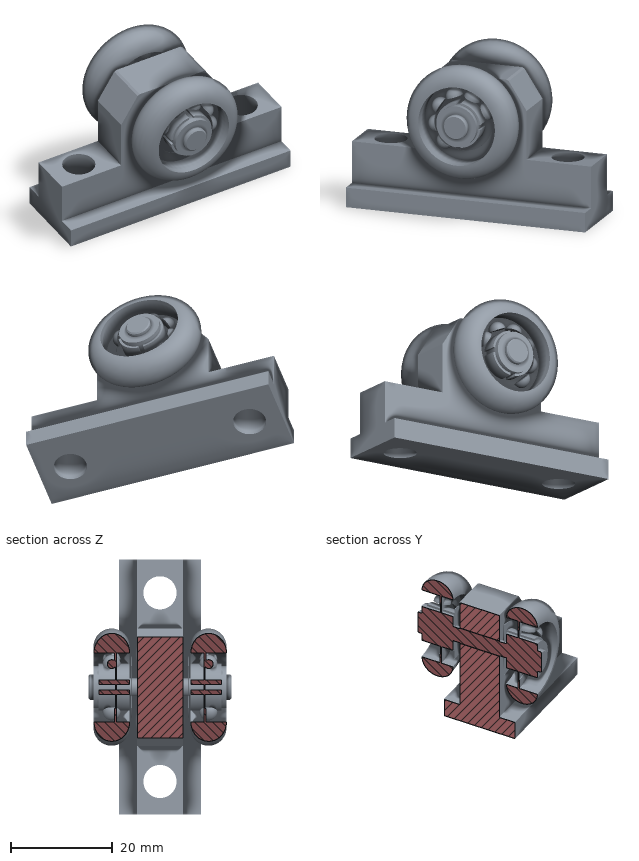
import cadquery as cq


LENGTH = 50.0
BASE_WIDTH = 16.0
BASE_HEIGHT = 4.0
BLOCK_WIDTH = 9.0
SHOULDER_HEIGHT = 12.5
TOWER_LENGTH = 23.0
TOWER_HEIGHT = 28.5
FACET_START_HEIGHT = 22.5
TOP_LENGTH = 15.5
TOP_FLAT_LENGTH = 14.5
TOP_BEVEL_DROP = 0.25
MOUNT_HOLE_DIAMETER = 6.5
MOUNT_HOLE_SPACING = 37.0

AXLE_HEIGHT = 20.5
AXLE_DIAMETER = 3.5
WHEELSET_WIDTH = 28.0
WHEEL_OFFSET = 9.5
TYRE_WIDTH = 7.1
RIM_DIAMETER = 16.0
OUTER_DIAMETER = 23.0
RACE_DIAMETER = 12.0
RACE_DEPTH = 0.15
WEB_OUTER_OFFSET = 9.0
WEB_THICKNESS = 0.5
FLANGE_OFFSET = 5.5
FLANGE_THICKNESS = 0.1
HUB_DIAMETER = 8.25
COLLAR_DIAMETER = 9.2
COLLAR_SETBACK = 1.0
CAP_DIAMETER = 5.0
CAP_CHAMFER = 0.25
CAP_LENGTH = (WHEELSET_WIDTH - TYRE_WIDTH) / 2 - WHEEL_OFFSET

NOTCH_WIDTH = 1.0
NOTCH_ANGLES = (0, 90, 270)

BALL_DIAMETER = 3.5
BALL_CIRCLE_RADIUS = 5.4
BALL_PITCH = 360 / 9
FIRST_BALL_ANGLE = 28.0
EXPOSED_BALLS = 6


def cylinder_x(diameter, start, end):
    """Cylinder around the wheel axis between two X positions."""
    section = cq.Workplane("YZ", origin=(start, 0, AXLE_HEIGHT)).circle(diameter / 2)
    return section.extrude(end - start)


def make_bracket():
    base = cq.Workplane("XY").box(BASE_WIDTH, LENGTH, BASE_HEIGHT, centered=(True, True, False))
    half_length = LENGTH / 2
    tower_half = TOWER_LENGTH / 2
    block = (
        cq.Workplane("YZ")
        .polyline([
            (-half_length, 0),
            (half_length, 0),
            (half_length, SHOULDER_HEIGHT),
            (tower_half, SHOULDER_HEIGHT),
            (tower_half, FACET_START_HEIGHT),
            (TOP_LENGTH / 2, TOWER_HEIGHT - TOP_BEVEL_DROP),
            (TOP_FLAT_LENGTH / 2, TOWER_HEIGHT),
            (-TOP_FLAT_LENGTH / 2, TOWER_HEIGHT),
            (-TOP_LENGTH / 2, TOWER_HEIGHT - TOP_BEVEL_DROP),
            (-tower_half, FACET_START_HEIGHT),
            (-tower_half, SHOULDER_HEIGHT),
            (-half_length, SHOULDER_HEIGHT),
        ])
        .close()
        .extrude(BLOCK_WIDTH / 2, both=True)
    )
    mount_holes = (
        cq.Workplane("XY")
        .pushPoints([(0, -MOUNT_HOLE_SPACING / 2), (0, MOUNT_HOLE_SPACING / 2)])
        .circle(MOUNT_HOLE_DIAMETER / 2)
        .extrude(SHOULDER_HEIGHT)
    )
    axle_hole = cylinder_x(AXLE_DIAMETER, -BLOCK_WIDTH / 2, BLOCK_WIDTH / 2)
    return base.union(block).cut(mount_holes).cut(axle_hole)


def make_tyre(outer_face, inner_face):
    """Round-edged wheel body with a bore on each side of a thin web."""
    rim_radius = RIM_DIAMETER / 2
    tyre = (
        cq.Workplane("XY", origin=(0, 0, AXLE_HEIGHT))
        .moveTo(outer_face, 0)
        .lineTo(outer_face, rim_radius)
        .threePointArc((-WHEEL_OFFSET, OUTER_DIAMETER / 2), (inner_face, rim_radius))
        .lineTo(inner_face, 0)
        .close()
        .revolve(360, (0, 0, 0), (1, 0, 0))
    )
    web_outer_face = -WEB_OUTER_OFFSET
    web_inner_face = web_outer_face + WEB_THICKNESS
    outer_bore = cylinder_x(RIM_DIAMETER, outer_face, web_outer_face)
    inner_bore = cylinder_x(RIM_DIAMETER, web_inner_face, inner_face)
    race = cylinder_x(RACE_DIAMETER, web_outer_face, web_outer_face + RACE_DEPTH)
    return tyre.cut(outer_bore).cut(inner_bore).cut(race)


def make_collar(outer_face, inner_face):
    """Ring around the hub, interrupted by radial notches."""
    collar = cylinder_x(COLLAR_DIAMETER, outer_face + COLLAR_SETBACK, inner_face)
    depth = inner_face - outer_face
    for angle in NOTCH_ANGLES:
        notch = (
            cq.Workplane("XY", origin=((outer_face + inner_face) / 2, 0, AXLE_HEIGHT))
            .box(depth, COLLAR_DIAMETER, NOTCH_WIDTH)
            .translate((0, -COLLAR_DIAMETER / 2, 0))
            .rotate((0, 0, AXLE_HEIGHT), (1, 0, AXLE_HEIGHT), -angle)
        )
        collar = collar.cut(notch)
    return collar


def make_half_ball(angle):
    """Radially outer half of a bearing ball on the middle plane of the wheel."""
    half_ball = cq.Workplane("XY").sphere(BALL_DIAMETER / 2)
    inner_half = cq.Workplane("XY").box(BALL_DIAMETER, BALL_DIAMETER, BALL_DIAMETER)
    half_ball = half_ball.cut(inner_half.translate((0, BALL_DIAMETER / 2, 0)))
    return (
        half_ball.translate((-WHEEL_OFFSET, -BALL_CIRCLE_RADIUS, AXLE_HEIGHT))
        .rotate((0, 0, AXLE_HEIGHT), (1, 0, AXLE_HEIGHT), -angle)
    )


def make_wheel():
    """Wheel on the -X side, with its hub, cap, balls and inner flange."""
    outer_face = -WHEEL_OFFSET - TYRE_WIDTH / 2
    inner_face = -WHEEL_OFFSET + TYRE_WIDTH / 2
    wheel = make_tyre(outer_face, inner_face)
    wheel = wheel.union(cylinder_x(HUB_DIAMETER, outer_face, inner_face))
    wheel = wheel.union(make_collar(outer_face, inner_face))
    cap = cylinder_x(CAP_DIAMETER, outer_face - CAP_LENGTH, outer_face)
    wheel = wheel.union(cap.faces("<X").chamfer(CAP_CHAMFER))
    wheel = wheel.union(cylinder_x(RACE_DIAMETER, -FLANGE_OFFSET - FLANGE_THICKNESS, -FLANGE_OFFSET))
    for index in range(EXPOSED_BALLS):
        wheel = wheel.union(make_half_ball(FIRST_BALL_ANGLE + index * BALL_PITCH))
    return wheel


def make_wheelset():
    """Two mirrored wheels joined by the axle that passes through the bracket."""
    wheel = make_wheel()
    axle = cylinder_x(AXLE_DIAMETER, -WHEEL_OFFSET, WHEEL_OFFSET)
    return axle.union(wheel).union(wheel.mirror("YZ"))


bracket = make_bracket()
wheelset = make_wheelset()
result = cq.Compound.makeCompound([bracket.val(), *wheelset.solids().vals()])